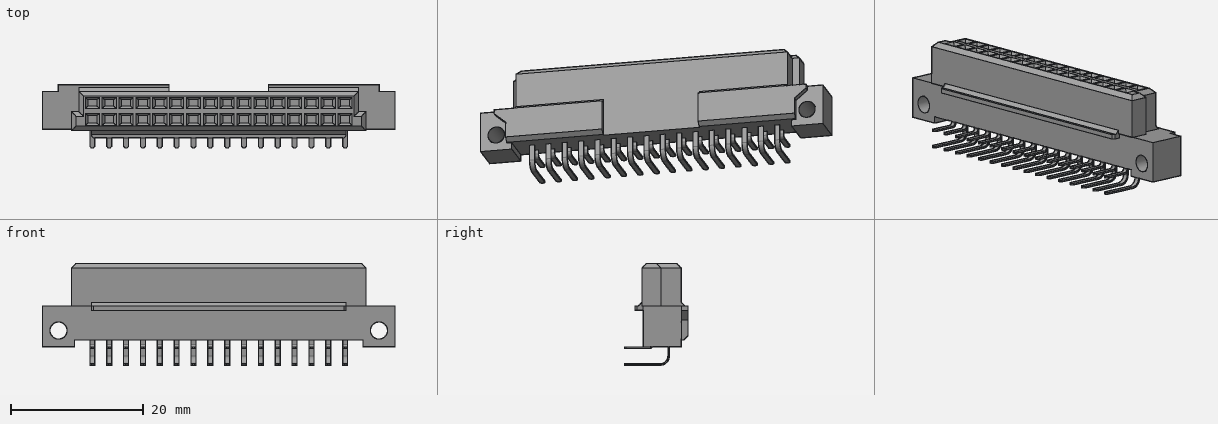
import cadquery as cq
import math


OVERALL_DEPTH = 9.59
OVERALL_HEIGHT = 15.38

PITCH = 2.54
COLUMNS = 16

FLANGE_LENGTH = 53.2
FLANGE_DEPTH = 5.74
FLANGE_HEIGHT = 6.15
RELIEF_LENGTH = 43.48
RELIEF_HEIGHT = 1.0
MOUNT_HOLE_DIAMETER = 2.55
MOUNT_HOLE_SPACING = 48.3
MOUNT_HOLE_Z = -3.7

SHROUD_HEIGHT = 6.43
SHROUD_FRONT_LENGTH = 44.4
SHROUD_REAR_LENGTH = 42.2
SHROUD_STEP_Y = -3.06
SHROUD_FRONT_Y = -5.94
SHROUD_CHAMFER = 0.7

OPENING_WIDTH = 2.12
REAR_OPENING_Y = (-2.56, -0.94)
FRONT_OPENING_Y = (-5.12, -3.34)
OPENING_TAPER_X = 0.4
OPENING_TAPER_Y = 0.33
OPENING_DEPTH = 0.54

FOOT_SLOPE = 0.56

RIB_LENGTH = 38.4
RIB_FRONT_Y = -7.0
RIB_BOTTOM_Z = -0.67
RIB_CORNER_CHAMFER = 0.3

PLATE_THICKNESS = 1.02
PLATE_OUTER_X = 24.22
PLATE_INNER_X = 7.47
PLATE_BOTTOM_Z = RELIEF_HEIGHT - FLANGE_HEIGHT
PLATE_BOTTOM_CHAMFER = 0.65
PLATE_LIP_HEIGHT = 0.65
PLATE_UNDERCUT_HEIGHT = 1.48
PLATE_UNDERCUT_INSET = 1.78

PIN_WIDTH = 0.78
PIN_THICKNESS = 0.25
PIN_TIP_Y = PLATE_THICKNESS - OVERALL_DEPTH
PIN_TIP_CHAMFER = 0.27
PIN_ROOT_EMBED = 0.5
REAR_PIN_Y = -1.79
REAR_PIN_BOTTOM_Z = SHROUD_HEIGHT - OVERALL_HEIGHT
REAR_PIN_BEND = 1.42
FRONT_PIN_Y = -4.2
FRONT_PIN_BOTTOM_Z = -6.43
FRONT_PIN_BEND = 0.65


def box(x_range, y_range, z_range):
    """Axis-aligned block spanning the three given (low, high) ranges."""
    sizes = [high - low for low, high in (x_range, y_range, z_range)]
    corner = cq.Vector(x_range[0], y_range[0], z_range[0])
    return cq.Workplane("XY").box(*sizes, centered=False).translate(corner)


def extrude_along_x(yz_points, x_low, x_high):
    """Prism with the given YZ outline between two X positions."""
    outline = cq.Workplane("YZ", origin=(x_low, 0, 0)).polyline(yz_points).close()
    return outline.extrude(x_high - x_low)


def column_positions():
    """X positions of the contact columns, centred on the part."""
    first = -PITCH * (COLUMNS - 1) / 2
    return [first + PITCH * column for column in range(COLUMNS)]


def make_flange():
    """Lower block with its underside relief and the two mounting holes."""
    half = FLANGE_LENGTH / 2
    relief_half = RELIEF_LENGTH / 2
    flange = box((-half, half), (-FLANGE_DEPTH, 0), (-FLANGE_HEIGHT, 0))
    relief = box(
        (-relief_half, relief_half),
        (-FLANGE_DEPTH, 0),
        (-FLANGE_HEIGHT, RELIEF_HEIGHT - FLANGE_HEIGHT),
    )
    holes = (
        cq.Workplane("XZ")
        .pushPoints([(side * MOUNT_HOLE_SPACING / 2, MOUNT_HOLE_Z) for side in (-1, 1)])
        .circle(MOUNT_HOLE_DIAMETER / 2)
        .extrude(FLANGE_DEPTH)
    )
    return flange.cut(relief).cut(holes)


def make_shroud():
    """Stepped mating block with a chamfered top rim."""
    front_half = SHROUD_FRONT_LENGTH / 2
    rear_half = SHROUD_REAR_LENGTH / 2
    outline = [
        (-front_half, SHROUD_FRONT_Y),
        (front_half, SHROUD_FRONT_Y),
        (front_half, SHROUD_STEP_Y),
        (rear_half, SHROUD_STEP_Y),
        (rear_half, 0),
        (-rear_half, 0),
        (-rear_half, SHROUD_STEP_Y),
        (-front_half, SHROUD_STEP_Y),
    ]
    shroud = cq.Workplane("XY").polyline(outline).close().extrude(SHROUD_HEIGHT)
    return shroud.faces(">Z").edges().chamfer(SHROUD_CHAMFER)


def make_opening(x, y_range):
    """Tapered lead-in pocket centred on one contact."""
    y_low, y_high = y_range
    length = y_high - y_low
    return (
        cq.Workplane("XY", origin=(x, (y_low + y_high) / 2, SHROUD_HEIGHT))
        .rect(OPENING_WIDTH, length)
        .workplane(offset=-OPENING_DEPTH)
        .rect(OPENING_WIDTH - 2 * OPENING_TAPER_X, length - 2 * OPENING_TAPER_Y)
        .loft(ruled=True)
    )


def make_rib():
    """Front rib with a flat ledge and a slope up to the shroud face."""
    half = RIB_LENGTH / 2
    base = box((-half, half), (RIB_FRONT_Y, -FLANGE_DEPTH), (RIB_BOTTOM_Z, 0))
    base = base.edges("|Z and <Y").chamfer(RIB_CORNER_CHAMFER)
    slope_points = [
        (-FLANGE_DEPTH, 0),
        (SHROUD_FRONT_Y - FOOT_SLOPE, 0),
        (SHROUD_FRONT_Y, FOOT_SLOPE),
        (-FLANGE_DEPTH, FOOT_SLOPE),
    ]
    return base.union(extrude_along_x(slope_points, -half, half))


def make_rear_plate():
    """Plate on the -X half of the rear face, with its slope up to the shroud."""
    lip_z = -PLATE_LIP_HEIGHT
    undercut_z = lip_z - PLATE_UNDERCUT_HEIGHT
    inset_x = -PLATE_OUTER_X + PLATE_UNDERCUT_INSET
    outline = [
        (-PLATE_OUTER_X, 0),
        (-PLATE_INNER_X, 0),
        (-PLATE_INNER_X, PLATE_BOTTOM_Z),
        (inset_x, PLATE_BOTTOM_Z),
        (inset_x, undercut_z),
        (-PLATE_OUTER_X, lip_z),
    ]
    plate = cq.Workplane("XZ").polyline(outline).close().extrude(-PLATE_THICKNESS)
    plate = plate.edges("<Z and >Y").chamfer(PLATE_BOTTOM_CHAMFER)
    slope_points = [(0, 0), (FOOT_SLOPE, 0), (0, FOOT_SLOPE)]
    slope = extrude_along_x(slope_points, -SHROUD_REAR_LENGTH / 2, -PLATE_INNER_X)
    return plate.union(slope)


def make_pin(rear_y, bottom_z, bend_radius):
    """Flat pin at X = 0: down out of the housing, round a bend, then forward to its tip."""
    root_z = RELIEF_HEIGHT - FLANGE_HEIGHT + PIN_ROOT_EMBED
    inner_radius = bend_radius - PIN_THICKNESS
    centre_y = rear_y - bend_radius
    centre_z = bottom_z + bend_radius
    diagonal = math.sqrt(0.5)
    pin = (
        cq.Workplane("YZ", origin=(-PIN_WIDTH / 2, 0, 0))
        .moveTo(rear_y, root_z)
        .lineTo(rear_y, centre_z)
        .threePointArc(
            (centre_y + bend_radius * diagonal, centre_z - bend_radius * diagonal),
            (centre_y, bottom_z),
        )
        .lineTo(PIN_TIP_Y, bottom_z)
        .lineTo(PIN_TIP_Y, bottom_z + PIN_THICKNESS)
        .lineTo(centre_y, bottom_z + PIN_THICKNESS)
        .threePointArc(
            (centre_y + inner_radius * diagonal, centre_z - inner_radius * diagonal),
            (rear_y - PIN_THICKNESS, centre_z),
        )
        .lineTo(rear_y - PIN_THICKNESS, root_z)
        .close()
        .extrude(PIN_WIDTH)
    )
    return pin.faces("<Y").edges("|Z").chamfer(PIN_TIP_CHAMFER)


housing = make_flange().union(make_shroud()).union(make_rib())
plate = make_rear_plate()
housing = housing.union(plate).union(plate.mirror("YZ"))

openings = [
    make_opening(x, y_range).val()
    for x in column_positions()
    for y_range in (REAR_OPENING_Y, FRONT_OPENING_Y)
]
housing = housing.cut(cq.Workplane("XY").newObject(openings).combine())

pins = [
    pin.translate((x, 0, 0))
    for pin in (
        make_pin(REAR_PIN_Y, REAR_PIN_BOTTOM_Z, REAR_PIN_BEND),
        make_pin(FRONT_PIN_Y, FRONT_PIN_BOTTOM_Z, FRONT_PIN_BEND),
    )
    for x in column_positions()
]
for pin in pins:
    housing = housing.union(pin)

result = housing